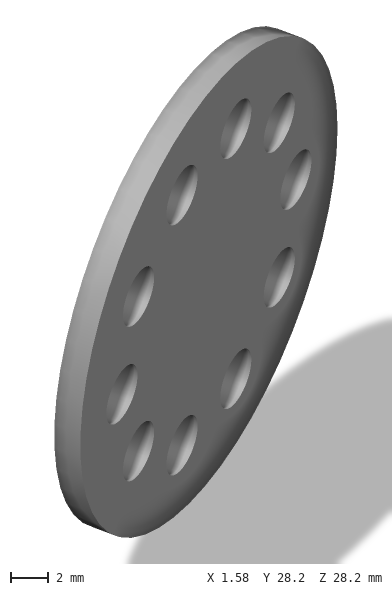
import cadquery as cq

disc_diameter = 28.18
disc_thickness = 1.58
hole_count = 10
hole_diameter = 3.4
hole_circle_diameter = 19.05

disc = (
    cq.Workplane("YZ", origin=(-disc_thickness / 2, 0, 0))
    .circle(disc_diameter / 2)
    .extrude(disc_thickness)
)

result = (
    disc.faces(">X")
    .workplane(origin=(0, 0, 0))
    .polarArray(hole_circle_diameter / 2, 0, 360, hole_count)
    .hole(hole_diameter)
)